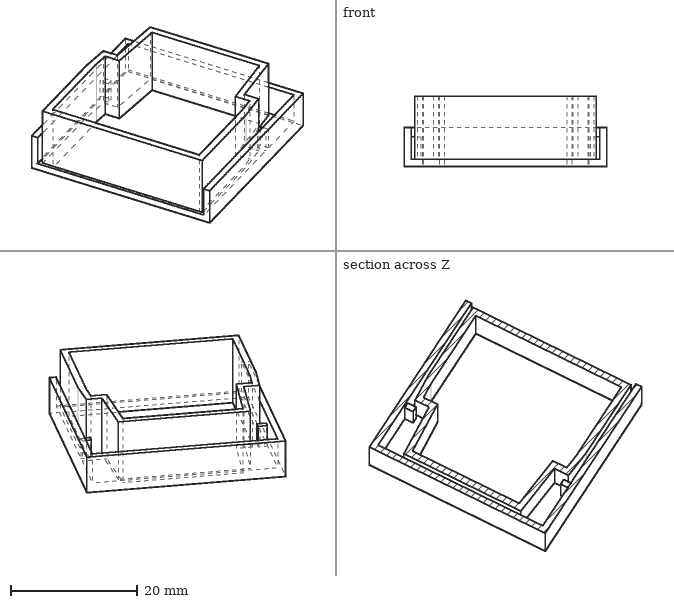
import cadquery as cq

tray_width = 32.1
tray_length = 31.0
tray_height = 6.2
tray_wall = 1.1
floor_thickness = 1.2

collar_top = 11.15
collar_wall = 1.2
collar_tapered_wall = 1.1
collar_gap = 0.55
taper_start_y = 15.02
shoulder_y = 19.97
neck_half_width = 11.45
side_taper = 0.083

tab_reach = 1.5
tab_length = 0.95
tab_front_y = 20.5
tab_bottom = floor_thickness
tab_top = 4.72

tray_inner_half_width = tray_width / 2 - tray_wall
collar_half_width = tray_inner_half_width - collar_gap
collar_front_y = collar_gap
collar_back_y = tray_length - tray_wall - collar_gap


def make_tray():
    """Floor plate with walls on both sides and at the back."""
    block = cq.Workplane("XY").box(tray_width, tray_length, tray_height, centered=(True, False, False))
    cavity = (
        cq.Workplane("XY")
        .workplane(offset=floor_thickness)
        .box(
            2 * tray_inner_half_width,
            tray_length - tray_wall,
            tray_height - floor_thickness,
            centered=(True, False, False),
        )
    )
    return block.cut(cavity)


def collar_prism(wall, tapered_wall):
    """Full-height collar shape, set in by wall on straight sides and tapered_wall (along X) on tapers."""
    half_width = collar_half_width - wall
    front_y = collar_front_y + wall
    back_y = collar_back_y - wall
    step_y = shoulder_y - wall
    bend_y = taper_start_y + (wall - tapered_wall) / side_taper
    shoulder_half_width = half_width - side_taper * (step_y - bend_y)
    neck_front_half_width = neck_half_width - tapered_wall + side_taper * wall
    neck_back_half_width = neck_front_half_width - side_taper * (back_y - step_y)
    right_side = [
        (half_width, front_y),
        (half_width, bend_y),
        (shoulder_half_width, step_y),
        (neck_front_half_width, step_y),
        (neck_back_half_width, back_y),
    ]
    left_side = [(-x, y) for x, y in reversed(right_side)]
    return cq.Workplane("XY").polyline(right_side + left_side).close().extrude(collar_top)


def make_tab(side):
    """Tab on one side wall; side is +1 for the +X wall and -1 for the -X wall."""
    center_x = side * (tray_inner_half_width - tab_reach / 2)
    return (
        cq.Workplane("XY")
        .box(tab_reach, tab_length, tab_top - tab_bottom, centered=(True, False, False))
        .translate((center_x, tab_front_y, tab_bottom))
    )


collar = collar_prism(0, 0)
opening = collar_prism(collar_wall, collar_tapered_wall)

result = make_tray().union(collar)
for side in (-1, 1):
    result = result.union(make_tab(side))
result = result.cut(opening)